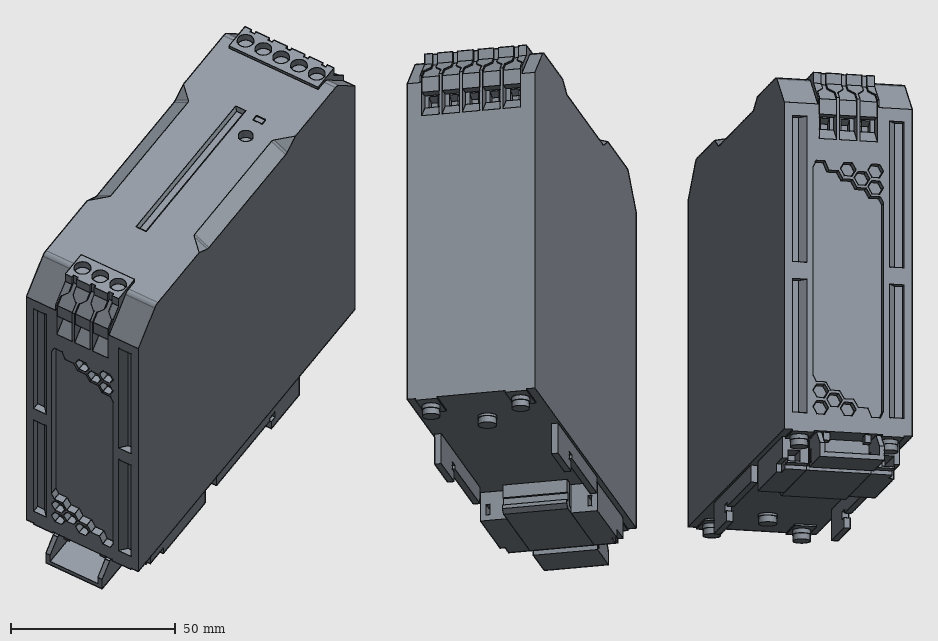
import cadquery as cq


WIDTH = 40.0
LENGTH = 124.9
HEIGHT = 112.5
CORNER_CHAMFER = 10.2
CORNER_ROUND = 2.6

GRIP_WIDTH = 5.0
GRIP_DROP = 3.1
GRIP_START = 40.2
GRIP_END = 85.3
GRIP_RUN_OUT = 5.2
GRIP_ROUND = 2.0

LABEL_SLOT_WIDTH = 3.6
LABEL_SLOT_START = 34.0
LABEL_SLOT_END = 91.3
LABEL_SLOT_DEPTH = 1.3
LABEL_SLOT_DRAFT = 30
INDICATOR_X = 7.1
BUTTON_Y = 82.6
BUTTON_DIAMETER = 4.5
BUTTON_DEPTH = 3.2
WINDOW_Y = 90.4
WINDOW_SIZE = (3.2, 2.1)
WINDOW_DEPTH = 0.4

VENT_INNER_X = 12.8
VENT_FLOOR_X = 14.9
VENT_OUTER_X = 17.4
VENT_DEPTH = 2.3
VENT_SPANS = [(5.5, 47.2), (52.5, 98.2)]

PANEL_HALF_WIDTH = 11.0
PANEL_CENTRE_Z = 44.9
PANEL_DEPTH = 2.6
HEX_ACROSS_CORNERS = 4.8
HEX_COLUMN = 4.3
HEX_ROW = 5.2
HEX_TOP = 37.5

POLE_PITCH = 6.4
FRONT_POLES = 3
BACK_POLES = 5
TERMINAL_TOP = HEIGHT + 1.0
TERMINAL_FOOT_Z = 104.5
TERMINAL_FACE_Y = 5.6
TERMINAL_BACK_Y = 14.8
SCREW_Y = 10.4
SCREW_DIAMETER = 5.0
SCREW_DEPTH = 2.6
COLUMN_WIDTH = 5.5
KEYWAY_WIDTH = 1.5
KEYWAY_BACK_Y = 6.5
TAPER_LOW_Z = 106.7
TAPER_HIGH_Z = 108.2
COLUMN_RECESS = 0.5
COLUMN_SLOPE_Z = 104.0
ENTRY_BOTTOM_Z = 91.5
ENTRY_TOP_Z = 99.2
ENTRY_DEPTH = 3.9
WIRE_HOLE_WIDTH = 2.7
WIRE_HOLE_DEPTH = 2.6
WIRE_HOLE_TOP_Z = 98.8
WIRE_HOLE_END_Z = 97.7

FOOT_OUTER_X = 19.3
FOOT_INNER_X = 17.3
FOOT_STRIP_FRONT_Y = 46.0
FOOT_BACK_Y = 93.8
FOOT_FRONT_Y = 77.7
FOOT_BOTTOM = -9.7
HOOK_Y = 79.9
HOOK_LIP_Z = -6.5
HOOK_TOP_Z = -4.2
STRIP_END_Y = 76.8
STRIP_BOTTOM = -5.3
BLOCK_FRONT_Y = 9.6
BLOCK_BACK_Y = 41.4
BLOCK_BOTTOM = -9.2
BLOCK_OUTER_X = 18.3
BLOCK_CORNER = (3.1, 1.3)
BLOCK_RELIEF_END_Y = 17.1
BLOCK_RELIEF_Z = -6.6
BLOCK_RELIEF_DEPTH = 1.5
POCKET_INNER_X = 12.8
POCKET_OUTER_X = 16.5
TUNNEL_INNER_X = 15.3
POCKET_BOTTOM = -7.4
POCKET_TOP = -4.0
POCKET_DEPTH = 6.5

PAD_LENGTH = 11.4
PAD_FRONT_LENGTH = 9.3
PAD_INNER_X = 10.6
PAD_OUTER_X = 17.4
PAD_THICKNESS = 0.5
STUD_X = 14.0
FRONT_STUD_Y = 5.6
BACK_STUD_Y = 118.9
STUD_DIAMETER = 5.3
STUD_LENGTH = 3.9
STUD_COLLAR = 0.1
STUD_COLLAR_LENGTH = 2.0
MIDDLE_STUD_Y = 104.7
MIDDLE_STUD_DIAMETER = 5.6
MIDDLE_STUD_LENGTH = 2.9
MIDDLE_STUD_COLLAR_LENGTH = 0.8
STOP_INNER_X = 5.5
STOP_OUTER_X = 7.4
STOP_START_Y = 1.3
STOP_END_Y = 3.9
STOP_LENGTH = 2.5

LATCH_WIDTH = 20.1
LATCH_WALL = 1.5
LATCH_BOTTOM = BLOCK_BOTTOM
TAB_TOP = -0.5
OVERALL_LENGTH = 129.7
TAB_FRONT_Y = LENGTH - OVERALL_LENGTH
TAB_BACK_Y = 8.8
TAB_LIP_Z = -4.8
STRAP_BOTTOM = -0.8
TAB_SLIT_START_Y = 6.7
TAB_SLIT_END_Y = 8.0
TAB_SLIT_BOTTOM = -8.0
TAB_SLIT_TOP = -4.2
BAR_BACK_Y = 45.3
BAR_SHOULDER_Z = -4.2
BAR_GROOVE_END_Y = 42.9
BAR_GROOVE_BOTTOM = -7.5
BAR_GROOVE_DEPTH = 1.0
TIP_Y = 46.8
TIP_TOP = -6.7
TIP_LOW = -7.9


def box(x0, x1, y0, y1, z0, z1):
    """Axis-aligned block between two opposite corners."""
    return cq.Workplane("XY").box(x1 - x0, y1 - y0, z1 - z0, centered=False).translate((x0, y0, z0))


def side_profile(points, x0, x1):
    """Prism with a (Y, Z) outline that reaches from x0 to x1."""
    return cq.Workplane("YZ", origin=(x0, 0, 0)).polyline(points).close().extrude(x1 - x0)


def both_sides(shape):
    """The shape together with its mirror image across X = 0."""
    return shape.union(shape.mirror("YZ"))


def turned_to_back(shape):
    """The shape turned half a turn about the vertical centre line of the box."""
    return shape.rotate((0, LENGTH / 2, 0), (0, LENGTH / 2, 1), 180)


def shell():
    """Box with its upper front and back edges bevelled and softened."""
    outline = [
        (0, 0),
        (0, HEIGHT - CORNER_CHAMFER),
        (CORNER_CHAMFER, HEIGHT),
        (LENGTH - CORNER_CHAMFER, HEIGHT),
        (LENGTH, HEIGHT - CORNER_CHAMFER),
        (LENGTH, 0),
    ]
    body = side_profile(outline, -WIDTH / 2, WIDTH / 2)
    return body.faces(">Z").edges("|X").fillet(CORNER_ROUND)


def finger_grip():
    """Cutter for the sloping grip on the right upper edge, with triangular run-outs."""
    edge_x = WIDTH / 2
    inner_x = edge_x - GRIP_WIDTH
    floor_z = HEIGHT - GRIP_DROP
    start_inner = cq.Vector(inner_x, GRIP_START, HEIGHT)
    start_low = cq.Vector(edge_x, GRIP_START, floor_z)
    start_outer = cq.Vector(edge_x, GRIP_START - GRIP_RUN_OUT, HEIGHT)
    end_inner = cq.Vector(inner_x, GRIP_END, HEIGHT)
    end_low = cq.Vector(edge_x, GRIP_END, floor_z)
    end_outer = cq.Vector(edge_x, GRIP_END + GRIP_RUN_OUT, HEIGHT)
    outlines = [
        [start_inner, start_low, start_outer],
        [end_inner, end_outer, end_low],
        [start_inner, start_outer, end_outer, end_inner],
        [start_inner, end_inner, end_low, start_low],
        [start_outer, start_low, end_low, end_outer],
    ]
    faces = [cq.Face.makeFromWires(cq.Wire.makePolygon(points, close=True)) for points in outlines]
    wedge = cq.Workplane(cq.Solid.makeSolid(cq.Shell.makeShell(faces)).fix())
    return wedge.edges("#Y").fillet(GRIP_ROUND)


def top_details():
    """Cutters for the label slot, the push button and the indicator window."""
    slot_centre = cq.Workplane("XY", origin=(0, (LABEL_SLOT_START + LABEL_SLOT_END) / 2, HEIGHT))
    slot_top = slot_centre.rect(LABEL_SLOT_WIDTH, LABEL_SLOT_END - LABEL_SLOT_START)
    slot = slot_top.extrude(-LABEL_SLOT_DEPTH, taper=LABEL_SLOT_DRAFT)
    top = cq.Workplane("XY", origin=(INDICATOR_X, 0, HEIGHT))
    button = top.center(0, BUTTON_Y).circle(BUTTON_DIAMETER / 2).extrude(-BUTTON_DEPTH)
    window = top.center(0, WINDOW_Y).rect(*WINDOW_SIZE).extrude(-WINDOW_DEPTH)
    return slot.union(button).union(window)


def vent_slots():
    """Cutters for the four vent slots, each with a sloping inner wall."""
    section = [
        (VENT_INNER_X, 0),
        (VENT_FLOOR_X, VENT_DEPTH),
        (VENT_OUTER_X, VENT_DEPTH),
        (VENT_OUTER_X, 0),
    ]
    slots = cq.Workplane("XY")
    for bottom, top in VENT_SPANS:
        slot = cq.Workplane("XY", origin=(0, 0, bottom)).polyline(section).close().extrude(top - bottom)
        slots = slots.union(slot)
    return both_sides(slots)


def label_panel():
    """Cutter for the label panel: half its outline and cells, repeated by half a turn."""
    steps = [
        (-PANEL_HALF_WIDTH, HEX_TOP),
        (-10.0, 39.7),
        (-7.3, 39.7),
        (-6.1, 36.8),
        (-3.1, 36.8),
        (-1.7, 34.4),
        (1.3, 34.4),
        (2.7, 31.9),
        (5.6, 31.9),
        (7.0, 29.5),
        (10.0, 29.5),
        (PANEL_HALF_WIDTH, 27.5),
    ]
    outline = steps + [(-x, -z) for x, z in steps]
    cells = [
        (0, HEX_TOP),
        (2 * HEX_COLUMN, HEX_TOP),
        (HEX_COLUMN, HEX_TOP - HEX_ROW / 2),
        (2 * HEX_COLUMN, HEX_TOP - HEX_ROW),
    ]
    cells += [(-x, -z) for x, z in cells]
    face = cq.Workplane("XZ", origin=(0, 0, PANEL_CENTRE_Z))
    panel = face.polyline(outline).close().extrude(-PANEL_DEPTH)
    return panel.union(face.pushPoints(cells).polygon(6, HEX_ACROSS_CORNERS).extrude(-PANEL_DEPTH))


def terminal_block(poles):
    """Raised block that carries the terminals, on the front upper edge."""
    outline = [
        (0, HEIGHT - CORNER_CHAMFER),
        (0, TERMINAL_FOOT_Z),
        (TERMINAL_FACE_Y, TERMINAL_FOOT_Z + TERMINAL_FACE_Y),
        (TERMINAL_FACE_Y, TERMINAL_TOP),
        (TERMINAL_BACK_Y, TERMINAL_TOP),
        (TERMINAL_BACK_Y, HEIGHT - CORNER_CHAMFER),
    ]
    half = poles * POLE_PITCH / 2
    return side_profile(outline, -half, half)


def pole_cutter():
    """Screw hole, keyed column and wire entry of one pole, at X = 0."""
    half = COLUMN_WIDTH / 2
    key = KEYWAY_WIDTH / 2
    column_outline = [
        (-half, ENTRY_TOP_Z),
        (-half, TAPER_LOW_Z),
        (-key, TAPER_HIGH_Z),
        (-key, TERMINAL_TOP),
        (key, TERMINAL_TOP),
        (key, TAPER_HIGH_Z),
        (half, TAPER_LOW_Z),
        (half, ENTRY_TOP_Z),
    ]
    recess_outline = [
        (0, ENTRY_TOP_Z),
        (COLUMN_RECESS, ENTRY_TOP_Z),
        (COLUMN_RECESS, COLUMN_SLOPE_Z),
        (KEYWAY_BACK_Y, COLUMN_SLOPE_Z + KEYWAY_BACK_Y - COLUMN_RECESS),
        (KEYWAY_BACK_Y, TERMINAL_TOP),
        (0, TERMINAL_TOP),
    ]
    column = cq.Workplane("XZ").polyline(column_outline).close().extrude(-KEYWAY_BACK_Y)
    column = column.intersect(side_profile(recess_outline, -half, half))

    ramp_top = ENTRY_BOTTOM_Z + ENTRY_DEPTH
    entry_outline = [
        (0, ENTRY_BOTTOM_Z),
        (ENTRY_DEPTH, ramp_top),
        (ENTRY_DEPTH, ENTRY_TOP_Z),
        (0, ENTRY_TOP_Z),
    ]
    entry = side_profile(entry_outline, -half, half)

    hole_end = ENTRY_DEPTH + WIRE_HOLE_DEPTH
    hole_outline = [
        (ENTRY_DEPTH, ramp_top),
        (hole_end, ramp_top),
        (hole_end, WIRE_HOLE_END_Z),
        (ENTRY_DEPTH, WIRE_HOLE_TOP_Z),
    ]
    wire_hole = side_profile(hole_outline, -WIRE_HOLE_WIDTH / 2, WIRE_HOLE_WIDTH / 2)

    top = cq.Workplane("XY", origin=(0, SCREW_Y, TERMINAL_TOP))
    screw = top.circle(SCREW_DIAMETER / 2).extrude(-SCREW_DEPTH)
    return column.union(entry).union(wire_hole).union(screw)


def pole_cutters(poles):
    """One pole cutter per terminal, spread evenly about X = 0."""
    cutters = cq.Workplane("XY")
    for index in range(poles):
        offset = (index - (poles - 1) / 2) * POLE_PITCH
        cutters = cutters.union(pole_cutter().translate((offset, 0, 0)))
    return cutters


def rail_feet():
    """Thin hooked walls that hold the back edge of the rail."""
    outline = [
        (FOOT_BACK_Y, 0),
        (FOOT_BACK_Y, FOOT_BOTTOM),
        (FOOT_FRONT_Y, FOOT_BOTTOM),
        (FOOT_FRONT_Y, HOOK_LIP_Z),
        (HOOK_Y, HOOK_LIP_Z),
        (HOOK_Y, HOOK_TOP_Z),
        (STRIP_END_Y, HOOK_TOP_Z),
        (STRIP_END_Y, STRIP_BOTTOM),
        (FOOT_STRIP_FRONT_Y, STRIP_BOTTOM),
        (FOOT_STRIP_FRONT_Y, 0),
    ]
    return both_sides(side_profile(outline, FOOT_INNER_X, FOOT_OUTER_X))


def lower_front_corner():
    """Cutter for the step in the lower front edge of the foot blocks and the latch bar."""
    length, height = BLOCK_CORNER
    return box(
        -FOOT_OUTER_X, FOOT_OUTER_X,
        BLOCK_FRONT_Y, BLOCK_FRONT_Y + length,
        BLOCK_BOTTOM, BLOCK_BOTTOM + height,
    )


def foot_block():
    """Two blocks in front of the rail, one on each side of the latch bar."""
    block = box(LATCH_WIDTH / 2, BLOCK_OUTER_X, BLOCK_FRONT_Y, BLOCK_BACK_Y, BLOCK_BOTTOM, 0)
    side_relief = box(
        BLOCK_OUTER_X - BLOCK_RELIEF_DEPTH, BLOCK_OUTER_X,
        BLOCK_FRONT_Y, BLOCK_RELIEF_END_Y,
        BLOCK_BOTTOM, BLOCK_RELIEF_Z,
    )
    pocket = box(
        POCKET_INNER_X, POCKET_OUTER_X,
        BLOCK_FRONT_Y, BLOCK_FRONT_Y + POCKET_DEPTH,
        POCKET_BOTTOM, POCKET_TOP,
    )
    tunnel = box(
        TUNNEL_INNER_X, POCKET_OUTER_X,
        BLOCK_FRONT_Y, BLOCK_BACK_Y,
        POCKET_BOTTOM, POCKET_TOP,
    )
    return both_sides(block.cut(lower_front_corner()).cut(side_relief).cut(pocket).cut(tunnel))


def stud(x, y, diameter, length, collar_length):
    """Round stud under the box with a slightly wider collar at its root."""
    centre = cq.Workplane("XY", origin=(x, y, 0))
    collar = centre.circle(diameter / 2 + STUD_COLLAR).extrude(-collar_length)
    return centre.circle(diameter / 2).extrude(-length).union(collar)


def underside_details():
    """Pads, round studs and the two stops above the latch tab."""
    front_pad = box(PAD_INNER_X, PAD_OUTER_X, 0, PAD_FRONT_LENGTH, -PAD_THICKNESS, 0)
    back_pad = box(PAD_INNER_X, PAD_OUTER_X, LENGTH - PAD_LENGTH, LENGTH, -PAD_THICKNESS, 0)
    stop = box(STOP_INNER_X, STOP_OUTER_X, STOP_START_Y, STOP_END_Y, -STOP_LENGTH, 0)
    front_stud = stud(STUD_X, FRONT_STUD_Y, STUD_DIAMETER, STUD_LENGTH, STUD_COLLAR_LENGTH)
    back_stud = stud(STUD_X, BACK_STUD_Y, STUD_DIAMETER, STUD_LENGTH, STUD_COLLAR_LENGTH)
    details = both_sides(front_pad.union(back_pad).union(stop).union(front_stud).union(back_stud))
    middle_stud = stud(
        0, MIDDLE_STUD_Y, MIDDLE_STUD_DIAMETER, MIDDLE_STUD_LENGTH, MIDDLE_STUD_COLLAR_LENGTH
    )
    return details.union(middle_stud)


def make_housing():
    body = shell()
    body = body.cut(both_sides(finger_grip()))
    body = body.cut(top_details()).cut(vent_slots()).cut(label_panel())
    body = body.union(terminal_block(FRONT_POLES)).cut(pole_cutters(FRONT_POLES))
    body = body.union(turned_to_back(terminal_block(BACK_POLES)))
    body = body.cut(turned_to_back(pole_cutters(BACK_POLES)))
    return body.union(rail_feet()).union(foot_block()).union(underside_details())


def make_latch():
    """Pull tab in front of the foot blocks, strapped to the bar that slides between them."""
    half = LATCH_WIDTH / 2
    tab_outline = [
        (TAB_FRONT_Y, LATCH_BOTTOM),
        (TAB_FRONT_Y, TAB_LIP_Z),
        (TAB_FRONT_Y - TAB_LIP_Z + TAB_TOP, TAB_TOP),
        (TAB_BACK_Y, TAB_TOP),
        (TAB_BACK_Y, LATCH_BOTTOM),
    ]
    tab = side_profile(tab_outline, -half, half)
    inner = half - LATCH_WALL
    tab = tab.cut(box(-inner, inner, TAB_FRONT_Y, TAB_BACK_Y, LATCH_BOTTOM + LATCH_WALL, 0))
    tab = tab.cut(box(-half, half, TAB_SLIT_START_Y, TAB_SLIT_END_Y, TAB_SLIT_BOTTOM, TAB_SLIT_TOP))

    strap = both_sides(box(inner, half, TAB_SLIT_END_Y, BLOCK_FRONT_Y, STRAP_BOTTOM, 0))
    bar_outline = [
        (BLOCK_FRONT_Y, 0),
        (BLOCK_FRONT_Y, LATCH_BOTTOM),
        (BAR_BACK_Y, LATCH_BOTTOM),
        (TIP_Y, TIP_LOW),
        (TIP_Y, TIP_TOP),
        (BAR_BACK_Y, TIP_TOP),
        (BAR_BACK_Y, BAR_SHOULDER_Z),
        (FOOT_STRIP_FRONT_Y, BAR_SHOULDER_Z),
        (FOOT_STRIP_FRONT_Y, 0),
    ]
    groove = box(half - BAR_GROOVE_DEPTH, half, BLOCK_BACK_Y, BAR_GROOVE_END_Y, BAR_GROOVE_BOTTOM, 0)
    bar = side_profile(bar_outline, -half, half).cut(lower_front_corner()).cut(both_sides(groove))
    return tab.union(strap).union(bar)


housing = make_housing()
latch = make_latch()
result = cq.Compound.makeCompound([housing.val(), latch.val()])